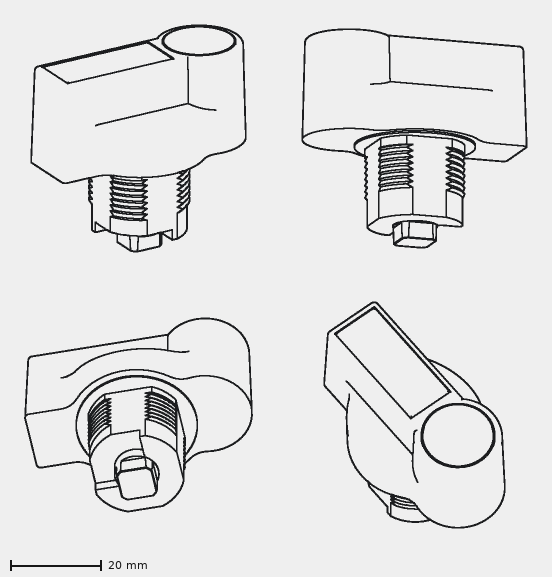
import cadquery as cq
import math


grip_height = 23.1
grip_draft = 1.5
head_radius = 10.45
head_y = 15.45
arm_half_width = 7.5
arm_end_y = -24.0
grip_edge_radius = 1.0

wing_radius = 15.1
wing_draft = 1.0
wing_slope = 30.0
wing_ridge_height = 16.35
wing_blend_radius = 5.0
wing_rim_radius = 0.5
box_margin = 0.5

recess_depth = 1.0
cap_radius = 7.9
cap_gap = 0.3
cap_rise = 0.1
label_width = 11.2
label_front_y = -21.9
label_back_y = 5.6
label_edge_radius = 0.5

flange_radius = 13.45
flange_bottom = -0.4
neck_bottom = -2.45
thread_bottom = -12.3
bushing_bottom = -18.45
stem_width = 19.75
thread_crest_radius = 11.25
thread_root_radius = 10.65
thread_turns = 7
notch_height = 2.45
notch_overlap = 2.6

shaft_radius = 4.95
shoulder_bottom = -18.6
drive_bottom = -22.3
drive_width = 8.25
drive_draft = 2.0
drive_chamfer = 0.15


def make_arm():
    arm_length = head_y - arm_end_y
    arm = (
        cq.Workplane()
        .center(0, head_y - arm_length / 2)
        .rect(2 * arm_half_width, arm_length)
        .extrude(grip_height, taper=grip_draft)
    )
    return arm.faces("<Y").edges("not |X").fillet(grip_edge_radius)


def make_grip():
    """Return the head and arm, with sharp top edges."""
    head = cq.Workplane().center(0, head_y).circle(head_radius).extrude(grip_height, taper=grip_draft)
    return head.union(make_arm())


def make_wings(grip):
    """Return the wings, blended into the grip walls and cut off along the two slopes."""
    disc = cq.Workplane().circle(wing_radius).extrude(grip_height, taper=-wing_draft)
    corner_box = cq.selectors.BoxSelector(
        (-wing_radius, -wing_radius, box_margin),
        (wing_radius, head_y, grip_height - box_margin),
    )
    blended = grip.union(disc).edges(corner_box).fillet(wing_blend_radius)

    reach = 1.5 * wing_radius
    eaves_height = wing_ridge_height - reach * math.tan(math.radians(wing_slope))
    gable = (
        cq.Workplane("XZ")
        .moveTo(-reach, 0)
        .lineTo(-reach, eaves_height)
        .lineTo(0, wing_ridge_height)
        .lineTo(reach, eaves_height)
        .lineTo(reach, 0)
        .close()
        .extrude(2 * reach, both=True)
    )
    wings = blended.intersect(gable)
    rim_box = cq.selectors.BoxSelector(
        (-wing_radius, -wing_radius, wing_ridge_height / 2),
        (wing_radius, head_y, wing_ridge_height - box_margin),
    )
    return wings.edges(rim_box).fillet(wing_rim_radius)


def make_recess_cutters():
    """Return the round and rectangular recesses in the knob top."""
    floor = cq.Workplane("XY", origin=(0, head_y, grip_height - recess_depth))
    cap_recess = floor.circle(cap_radius + cap_gap).extrude(recess_depth)
    return cap_recess.union(make_label_block())


def make_knob():
    grip = make_grip()
    wings = make_wings(grip)
    rounded_grip = grip.faces(">Z").edges().fillet(grip_edge_radius)
    return rounded_grip.union(wings).cut(make_recess_cutters())


def make_cap():
    """Return the cap disc, which stands slightly above the knob top with a gap around it."""
    floor = cq.Workplane("XY", origin=(0, head_y, grip_height - recess_depth))
    return floor.circle(cap_radius).extrude(recess_depth + cap_rise)


def make_label_block():
    """Return the rectangular block shared by the label plate and its recess."""
    label_length = label_back_y - label_front_y
    return (
        cq.Workplane()
        .workplane(offset=grip_height - recess_depth)
        .center(0, label_back_y - label_length / 2)
        .rect(label_width, label_length)
        .extrude(recess_depth)
    )


def make_label():
    return make_label_block().faces(">Z").edges().fillet(label_edge_radius)


def make_turned_stem():
    """Return the neck, thread ridges and plain lower length as a solid of revolution."""
    pitch = (neck_bottom - thread_bottom) / thread_turns
    profile = (
        cq.Workplane("XZ")
        .moveTo(0, flange_bottom)
        .lineTo(thread_crest_radius, flange_bottom)
        .lineTo(thread_crest_radius, neck_bottom)
        .lineTo(thread_root_radius, neck_bottom)
    )
    for turn in range(thread_turns):
        root_top = neck_bottom - turn * pitch
        profile = profile.lineTo(thread_crest_radius, root_top - pitch / 2)
        profile = profile.lineTo(thread_root_radius, root_top - pitch)
    profile = profile.lineTo(thread_root_radius, bushing_bottom).lineTo(0, bushing_bottom).close()
    return profile.revolve(360, (0, 0, 0), (0, 1, 0))


def make_notch_cutter():
    """Return the block that opens the lower end of the bushing around its +X, -Y corner."""
    return (
        cq.Workplane("XY", origin=(-notch_overlap, notch_overlap, bushing_bottom))
        .rect(stem_width, -stem_width, centered=False)
        .extrude(notch_height)
    )


def make_bushing():
    flange = cq.Workplane().circle(flange_radius).extrude(flange_bottom)
    square_bar = cq.Workplane().rect(stem_width, stem_width).extrude(bushing_bottom)
    stem = make_turned_stem().intersect(square_bar)
    bore = cq.Workplane().circle(shaft_radius).extrude(bushing_bottom)
    return flange.union(stem).cut(bore).cut(make_notch_cutter())


def make_shaft():
    rod = cq.Workplane().circle(shaft_radius).extrude(shoulder_bottom)
    drive_length = shoulder_bottom - drive_bottom
    shoulder = cq.Workplane("XY", origin=(0, 0, shoulder_bottom))
    square = shoulder.rect(drive_width, drive_width).extrude(-drive_length, taper=drive_draft)
    round_end = cq.Workplane().circle(shaft_radius).extrude(drive_bottom)
    drive = square.intersect(round_end).faces("<Z").edges().chamfer(drive_chamfer)
    return rod.union(drive)


knob = make_knob()
cap = make_cap()
label = make_label()
bushing = make_bushing()
shaft = make_shaft()

result = cq.Compound.makeCompound([knob.val(), cap.val(), label.val(), bushing.val(), shaft.val()])